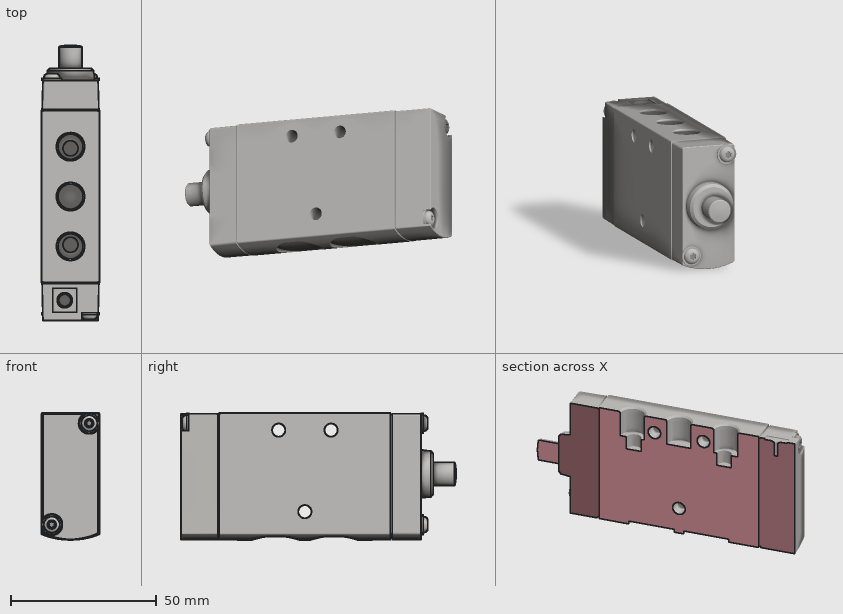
import cadquery as cq
import math


body_width = 20.0
body_half_width = body_width / 2
body_height = 43.7
body_half_height = body_height / 2
body_front = -34.1
body_rear = 24.7
body_middle = (body_front + body_rear) / 2
body_corner = 0.6
bottom_sag = 2.0

port_pitch = 17.1
port_diameter = 8.6
port_mouth_diameter = 9.7
port_mouth_depth = 0.6
port_depth = 9.5
passage_diameter = 5.2
passage_pitch = 16.6
passage_depth = 4.7

mount_diameter = 4.4
upper_mount_half_pitch = 9.0
upper_mount_z = 15.9
lower_mount_z = -12.1

flat_diameter = 16.5
flat_half_pitch = 10.0
flat_z = -20.7

neck_length = 0.6
neck_inset = 0.6
cap_side_inset = 0.2
cap_top_inset = 0.3
cap_bottom_inset = 0.1
cap_draft = 0.3
cap_end_chamfer = 0.2
front_cap_root_corner = 0.6
front_cap_end_corner = 0.3
rear_cap_corner = 0.85
front_cap_end = -47.3
rear_cap_end = 35.3

pilot_x = -2.0
pilot_y = -40.3
pilot_pad_side = 8.2
pilot_pad_z = 21.2
pilot_diameter = 4.2
pilot_mouth_diameter = 5.2
pilot_depth = 5.7

screw_x = 6.4
screw_upper_z = 18.3
screw_lower_z = -16.6
screw_flange_diameter = 6.8
screw_flange_thickness = 0.7
screw_dome_diameter = 5.5
screw_crown_diameter = 3.0
screw_height = 2.3
socket_diameter = 1.9
socket_tip_diameter = 2.5
socket_lobe_diameter = 0.7
socket_lobes = 6
socket_depth = 1.1
recess_diameter = 7.4
recess_depth = 2.7
recess_opening = 5.0

plunger_z = 0.85
collar_base_diameter = 16.5
collar_diameter = 15.9
collar_base_height = 0.5
collar_end = 39.45
collar_chamfer = 0.9
plunger_diameter = 8.0
plunger_end = 47.3
plunger_chamfer = 0.3
plunger_dome_rise = 0.4


def section(y, side_inset, top_inset, bottom_inset, corner):
    """Outline across the valve at y: flat top, curved underside, rounded corners."""
    half_width = body_half_width - side_inset
    top = body_half_height - top_inset
    bottom = bottom_inset - body_half_height
    outline = (
        cq.Workplane("XZ", origin=(0, y, 0))
        .moveTo(-half_width, bottom + bottom_sag)
        .lineTo(-half_width, top)
        .lineTo(half_width, top)
        .lineTo(half_width, bottom + bottom_sag)
        .threePointArc((0, bottom), (-half_width, bottom + bottom_sag))
        .wire()
        .val()
    )
    return outline.fillet2D(corner, outline.Vertices())


def loft(*outlines):
    return cq.Workplane(cq.Solid.makeLoft(list(outlines), True))


def straight_block(start, end, inset, corner):
    """Block with the valve's outline, set in by the same amount all round."""
    return loft(*[section(y, inset, inset, inset, corner) for y in (start, end)])


def cap_block(root, root_corner, end, end_corner):
    """Block of a cap, its sides tapering in by the draft, with its outer end chamfered."""
    outward = 1 if end > root else -1
    end_inset = cap_side_inset + cap_draft
    rim = end - outward * cap_end_chamfer
    return loft(
        section(root, cap_side_inset, cap_top_inset, cap_bottom_inset, root_corner),
        section(rim, end_inset, cap_top_inset, cap_bottom_inset, end_corner),
        section(
            end,
            end_inset + cap_end_chamfer,
            cap_top_inset + cap_end_chamfer,
            cap_bottom_inset + cap_end_chamfer,
            end_corner,
        ),
    )


def drill(x, y, z, diameter, depth):
    """Cylinder going down from z."""
    return cq.Workplane("XY", origin=(x, y, z)).circle(diameter / 2).extrude(-depth)


def mouth(x, y, z, outer_diameter, inner_diameter, depth):
    """Cone that opens the mouth of a hole in a face at z."""
    cone = cq.Solid.makeCone(
        outer_diameter / 2, inner_diameter / 2, depth, cq.Vector(x, y, z), cq.Vector(0, 0, -1)
    )
    return cq.Workplane(cone)


def make_valve_body():
    body = straight_block(body_front, body_rear, 0, body_corner)

    for step in (-1, 0, 1):
        port_y = body_middle + step * port_pitch
        body = body.cut(drill(0, port_y, body_half_height, port_diameter, port_depth))
        body = body.cut(
            mouth(0, port_y, body_half_height, port_mouth_diameter, port_diameter, port_mouth_depth)
        )

    for step in (-1, 1):
        passage_y = body_middle + step * passage_pitch
        floor_z = body_half_height - port_depth
        body = body.cut(drill(0, passage_y, floor_z, passage_diameter, passage_depth))

        flat_y = body_middle + step * flat_half_pitch
        body = body.cut(drill(0, flat_y, flat_z, flat_diameter, body_half_height + flat_z))

    mount_places = [
        (body_middle - upper_mount_half_pitch, upper_mount_z),
        (body_middle + upper_mount_half_pitch, upper_mount_z),
        (body_middle, lower_mount_z),
    ]
    mount_holes = (
        cq.Workplane("YZ").pushPoints(mount_places).circle(mount_diameter / 2)
        .extrude(body_half_width, both=True)
    )
    return body.cut(mount_holes)


def screw_head(x, seat_y, z, outward):
    """Flanged dome head with a six-lobed socket; outward is +1 or -1 along Y."""
    crown_radius = screw_crown_diameter / 2
    dome_radius = screw_dome_diameter / 2
    dome_rise = screw_height - screw_flange_thickness
    bulge = math.sqrt(0.5)
    middle_radius = crown_radius + (dome_radius - crown_radius) * bulge
    middle_height = screw_flange_thickness + dome_rise * bulge
    head = (
        cq.Workplane("XY")
        .lineTo(screw_flange_diameter / 2, 0)
        .lineTo(screw_flange_diameter / 2, screw_flange_thickness)
        .lineTo(dome_radius, screw_flange_thickness)
        .threePointArc((middle_radius, middle_height), (crown_radius, screw_height))
        .lineTo(0, screw_height)
        .close()
        .revolve(360, (0, 0, 0), (0, 1, 0))
    )
    lobe_circle_radius = (socket_tip_diameter - socket_lobe_diameter) / 2
    socket_top = cq.Workplane("XZ", origin=(0, screw_height, 0))
    socket = socket_top.circle(socket_diameter / 2).extrude(socket_depth)
    lobes = (
        socket_top.polarArray(lobe_circle_radius, 90, 360, socket_lobes)
        .circle(socket_lobe_diameter / 2)
        .extrude(socket_depth)
    )
    head = head.cut(socket).cut(lobes)
    if outward < 0:
        head = head.mirror("XZ")
    return head.translate((x, seat_y, z))


def make_front_cap():
    root = body_front - neck_length
    cap = cap_block(root, front_cap_root_corner, front_cap_end, front_cap_end_corner)
    cap = cap.union(straight_block(body_front, root, neck_inset, body_corner))

    pad = (
        cq.Workplane("XY", origin=(pilot_x, pilot_y, pilot_pad_z))
        .rect(pilot_pad_side, pilot_pad_side)
        .extrude(body_half_height - pilot_pad_z)
    )
    mouth_depth = (pilot_mouth_diameter - pilot_diameter) / 2
    cap = cap.cut(pad)
    cap = cap.cut(drill(pilot_x, pilot_y, pilot_pad_z, pilot_diameter, pilot_depth))
    cap = cap.cut(
        mouth(pilot_x, pilot_y, pilot_pad_z, pilot_mouth_diameter, pilot_diameter, mouth_depth)
    )

    screw_places = [(screw_x, screw_upper_z), (-screw_x, screw_lower_z)]
    seat_y = front_cap_end + recess_depth
    seat = cq.Workplane("XZ", origin=(0, seat_y, 0))
    cap = cap.cut(seat.pushPoints(screw_places).circle(recess_diameter / 2).extrude(recess_depth))

    half_opening = recess_opening / 2
    corner_opening = (
        seat.moveTo(screw_x - half_opening, screw_upper_z - half_opening)
        .lineTo(body_half_width, screw_upper_z - half_opening)
        .lineTo(body_half_width, body_half_height)
        .lineTo(screw_x - half_opening, body_half_height)
        .close()
        .extrude(recess_depth)
    )
    side_opening = (
        seat.moveTo(-screw_x, screw_lower_z - half_opening)
        .lineTo(-screw_x, screw_lower_z + half_opening)
        .lineTo(-body_half_width, screw_lower_z + half_opening)
        .lineTo(-body_half_width, screw_lower_z - half_opening)
        .close()
        .extrude(recess_depth)
    )
    cap = cap.cut(corner_opening).cut(side_opening)
    for x, z in screw_places:
        cap = cap.union(screw_head(x, seat_y, z, -1))
    return cap


def make_rear_cap():
    root = body_rear + neck_length
    cap = cap_block(root, rear_cap_corner, rear_cap_end, rear_cap_corner)
    cap = cap.union(straight_block(body_rear, root, neck_inset, body_corner))

    collar_radius = collar_diameter / 2
    base_end = rear_cap_end + collar_base_height
    collar = (
        cq.Workplane("XY", origin=(0, 0, plunger_z))
        .moveTo(0, rear_cap_end)
        .lineTo(collar_base_diameter / 2, rear_cap_end)
        .lineTo(collar_base_diameter / 2, base_end)
        .lineTo(collar_radius, collar_end - collar_chamfer)
        .lineTo(collar_radius - collar_chamfer, collar_end)
        .lineTo(0, collar_end)
        .close()
        .revolve(360, (0, 0, 0), (0, 1, 0))
    )
    cap = cap.union(collar)
    for x, z in [(-screw_x, screw_upper_z), (screw_x, screw_lower_z)]:
        cap = cap.union(screw_head(x, rear_cap_end, z, 1))
    return cap


def make_plunger():
    """Round pin with a chamfered, slightly domed tip, standing on the collar."""
    radius = plunger_diameter / 2
    rim_radius = radius - plunger_chamfer
    rim_end = plunger_end - plunger_dome_rise
    dome_radius = (rim_radius**2 + plunger_dome_rise**2) / (2 * plunger_dome_rise)
    mid_radius = rim_radius / 2
    mid_end = plunger_end - dome_radius + math.sqrt(dome_radius**2 - mid_radius**2)
    return (
        cq.Workplane("XY", origin=(0, 0, plunger_z))
        .moveTo(0, collar_end)
        .lineTo(radius, collar_end)
        .lineTo(radius, rim_end - plunger_chamfer)
        .lineTo(rim_radius, rim_end)
        .threePointArc((mid_radius, mid_end), (0, plunger_end))
        .close()
        .revolve(360, (0, 0, 0), (0, 1, 0))
    )


valve_body = make_valve_body()
front_cap = make_front_cap()
rear_cap = make_rear_cap()
plunger = make_plunger()

result = cq.Compound.makeCompound([valve_body.val(), front_cap.val(), rear_cap.val(), plunger.val()])